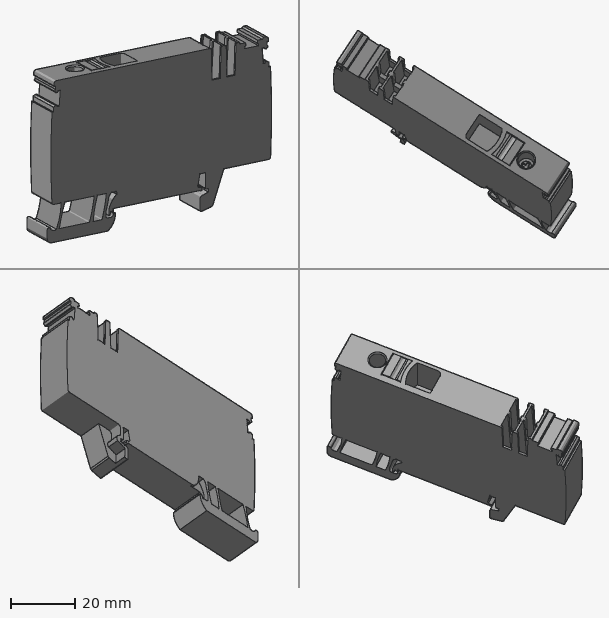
import cadquery as cq


WIDTH = 12.0
TOTAL_LENGTH = 81.8
TOTAL_HEIGHT = 53.2
HOUSING_HEIGHT = 40.65
HALF_LENGTH = 40.25
FOOT_END_Y = HALF_LENGTH - TOTAL_LENGTH
FOOT_BOTTOM_Z = HOUSING_HEIGHT - TOTAL_HEIGHT
NEAR_X = -WIDTH / 2

END_CORNER_Y = 39.8
SHOULDER_Z = 30.5
END_BULGE_Z = SHOULDER_Z / 2
END_NOTCH_Y = 38.6
BOTTOM_CORNER_RADIUS = 0.8
TOP_END_RADIUS = 1.0
SLOT_CORNER_RADIUS = 0.6

MARKER_LEDGE_DEPTH = 0.6
MARKER_DEPTH = 2.45

SLOT_FLOOR_Z = 30.1
SLOT_CENTERS_Y = (25.4, 20.05)
SLOT_TOP_WIDTH = 3.6
SLOT_FLOOR_WIDTH = 2.95
PANEL_TOP_WIDTH = 4.7
PANEL_FLOOR_WIDTH = 2.5
PANEL_FLOOR_Z = 22.9
PANEL_LENGTH_X = 4.7
PANEL_CENTER_X = 2.985

OPENING_X_MIN = -4.8
OPENING_X_MAX = 3.85
OPENING_MID_X = (OPENING_X_MIN + OPENING_X_MAX) / 2
POCKET_Y_MAX = -7.3
POCKET_Y_MIN = -15.7
POCKET_SAG = 1.0
POCKET_DEPTH = 12.3
POCKET_BIG_RADIUS = 1.5
POCKET_SMALL_RADIUS = 0.3

LEVER_Y_MAX = -17.4
LEVER_RECESS_Y_MIN = -24.1
LEVER_SAG = 0.65
LEVER_GAP = 0.25
LEVER_DEPTH = 4.9
LEVER_GROOVE_DEPTH = 0.4

SCREW_X = -0.6
SCREW_Y = -27.4
SCREW_HOLE_DIAMETER = 5.1
SCREW_HOLE_CHAMFER = 0.4
SCREW_HOLE_DEPTH = 8.2
SOCKET_DIAMETER = 3.3
SOCKET_RIM_DEPTH = 0.25
SOCKET_ARM_LENGTH = 2.8
SOCKET_ARM_WIDTH = 0.9
SOCKET_DEPTH = 1.2

RAIL_BLOCK_Z = -5.5
HOOK_INSET = 0.8
CLIP_WEB_INSET = 4.1
FOOT_CORNER_RADIUS = 1.6
FOOT_LIP_Z = -7.9
FOOT_LIP_WIDTH = 1.3
WINDOW_FLOOR_Z = -8.35
WINDOW_CORNER_RADIUS = 0.6


def side_plane(inset=0.0):
    """Y-Z sketch plane that lies `inset` behind the -X face and extrudes toward +X."""
    return cq.Workplane("YZ", origin=(NEAR_X + inset, 0, 0))


def end_profile(side):
    """Ledges and grooves of one end, from the shoulder up to the top; side is +1 or -1."""
    points = [
        (39.3, SHOULDER_Z),
        (39.3, 32.1),
        (38.5, 32.5),
        (37.95, 32.5),
        (37.8, 32.0),
        (37.2, 32.0),
        (36.8, 37.1),
        (37.55, 37.1),
        (37.9, 36.65),
        (38.3, 36.65),
        (38.9, 37.3),
        (END_NOTCH_Y, 37.9),
        (END_NOTCH_Y, 38.85),
        (39.1, 38.9),
        (39.1, HOUSING_HEIGHT),
    ]
    return [(side * y, z) for y, z in points]


def marker_channel_profile():
    """Stepped, slightly undercut channel, listed from +Y to -Y."""
    ledge_z = HOUSING_HEIGHT - MARKER_LEDGE_DEPTH
    floor_z = HOUSING_HEIGHT - MARKER_DEPTH
    return [
        (37.3, HOUSING_HEIGHT),
        (36.8, ledge_z),
        (35.2, ledge_z),
        (34.9, 39.2),
        (35.5, 38.8),
        (35.5, floor_z),
        (30.5, floor_z),
        (30.5, 38.85),
        (30.9, 39.3),
        (30.7, ledge_z),
        (28.7, ledge_z),
        (28.55, HOUSING_HEIGHT),
    ]


def tapered_slot_profile(center_y, top_width, floor_width, floor_z):
    return [
        (center_y + top_width / 2, HOUSING_HEIGHT),
        (center_y + floor_width / 2, floor_z),
        (center_y - floor_width / 2, floor_z),
        (center_y - top_width / 2, HOUSING_HEIGHT),
    ]


def is_at_housing_end(edge):
    return abs(edge.Center().y) > END_NOTCH_Y


def is_at_slot(edge):
    return any(abs(edge.Center().y - center_y) < PANEL_TOP_WIDTH / 2 for center_y in SLOT_CENTERS_Y)


def make_upper_housing():
    top_points = end_profile(1) + marker_channel_profile()
    for center_y in SLOT_CENTERS_Y:
        top_points += tapered_slot_profile(center_y, SLOT_TOP_WIDTH, SLOT_FLOOR_WIDTH, SLOT_FLOOR_Z)
    top_points += reversed(end_profile(-1))

    block = (
        side_plane()
        .moveTo(-END_CORNER_Y, 0)
        .lineTo(END_CORNER_Y, 0)
        .threePointArc((HALF_LENGTH, END_BULGE_Z), (END_CORNER_Y, SHOULDER_Z))
        .polyline(top_points, includeCurrent=True)
        .lineTo(-END_CORNER_Y, SHOULDER_Z)
        .threePointArc((-HALF_LENGTH, END_BULGE_Z), (-END_CORNER_Y, 0))
        .close()
        .extrude(WIDTH)
    )
    block = block.edges("|X").edges("<Z").fillet(BOTTOM_CORNER_RADIUS)
    block = block.edges("|X").edges(">Z").filter(is_at_housing_end).fillet(TOP_END_RADIUS)
    return block.edges("|X").edges(">Z").filter(is_at_slot).fillet(SLOT_CORNER_RADIUS)


def make_panel_recesses():
    """Tapered recesses, deeper than the slots, that leave ribs at the ends and middle of each wall."""
    recesses = cq.Workplane()
    for center_y in SLOT_CENTERS_Y:
        profile = tapered_slot_profile(center_y, PANEL_TOP_WIDTH, PANEL_FLOOR_WIDTH, PANEL_FLOOR_Z)
        for center_x in (-PANEL_CENTER_X, PANEL_CENTER_X):
            inset = center_x - PANEL_LENGTH_X / 2 - NEAR_X
            recesses = recesses.add(side_plane(inset).polyline(profile).close().extrude(PANEL_LENGTH_X))
    return recesses.combine()


def make_pocket():
    pocket = (
        cq.Workplane("XY", origin=(0, 0, HOUSING_HEIGHT))
        .moveTo(OPENING_X_MIN, POCKET_Y_MAX)
        .lineTo(OPENING_X_MIN, POCKET_Y_MIN)
        .threePointArc((OPENING_MID_X, POCKET_Y_MIN - POCKET_SAG), (OPENING_X_MAX, POCKET_Y_MIN))
        .lineTo(OPENING_X_MAX, POCKET_Y_MAX)
        .close()
        .extrude(-POCKET_DEPTH)
    )
    pocket = pocket.edges("|Z and >Y and <X").fillet(POCKET_BIG_RADIUS)
    return pocket.edges("|Z and >Y and >X").fillet(POCKET_SMALL_RADIUS)


def lever_block(x_max, y_min):
    """Block with a hollow +Y side; the recess and the lever share this shape."""
    return (
        cq.Workplane("XY", origin=(0, 0, HOUSING_HEIGHT))
        .moveTo(OPENING_X_MIN, LEVER_Y_MAX)
        .threePointArc((OPENING_MID_X, LEVER_Y_MAX - LEVER_SAG), (OPENING_X_MAX, LEVER_Y_MAX))
        .lineTo(OPENING_X_MAX, y_min)
        .lineTo(OPENING_X_MIN, y_min)
        .close()
        .extrude(-LEVER_DEPTH)
        .intersect(
            cq.Workplane("XY")
            .box(x_max - OPENING_X_MIN, TOTAL_LENGTH, TOTAL_HEIGHT, centered=(False, True, False))
            .translate((OPENING_X_MIN, 0, 0))
        )
    )


def make_lever_recess():
    return lever_block(OPENING_X_MAX, LEVER_RECESS_Y_MIN)


def make_lever():
    """Lever with clearance at its +X and -Y sides and a finger groove across its top."""
    groove_z = HOUSING_HEIGHT - LEVER_GROOVE_DEPTH
    groove = (
        side_plane()
        .moveTo(-18.8, HOUSING_HEIGHT)
        .lineTo(-19.5, groove_z)
        .lineTo(-20.1, groove_z)
        .tangentArcPoint((-21.2, HOUSING_HEIGHT), relative=False)
        .close()
        .extrude(WIDTH)
    )
    return lever_block(OPENING_X_MAX - LEVER_GAP, LEVER_RECESS_Y_MIN + LEVER_GAP).cut(groove)


def make_screw_hole():
    hole_floor = HOUSING_HEIGHT - SCREW_HOLE_DEPTH
    rim_floor = hole_floor - SOCKET_RIM_DEPTH
    top_radius = SCREW_HOLE_DIAMETER / 2 + SCREW_HOLE_CHAMFER
    hole = (
        cq.Workplane("XY", origin=(SCREW_X, SCREW_Y, hole_floor))
        .circle(SCREW_HOLE_DIAMETER / 2)
        .extrude(SCREW_HOLE_DEPTH)
    )
    countersink = cq.Workplane(
        cq.Solid.makeCone(
            SCREW_HOLE_DIAMETER / 2,
            top_radius,
            SCREW_HOLE_CHAMFER,
            pnt=cq.Vector(SCREW_X, SCREW_Y, HOUSING_HEIGHT - SCREW_HOLE_CHAMFER),
        )
    )
    rim = (
        cq.Workplane("XY", origin=(SCREW_X, SCREW_Y, rim_floor))
        .circle(SOCKET_DIAMETER / 2)
        .extrude(SOCKET_RIM_DEPTH)
    )
    hole = hole.union(countersink).union(rim)
    for angle in (0, 90):
        arm = (
            cq.Workplane("XY", origin=(SCREW_X, SCREW_Y, rim_floor))
            .transformed(rotate=(0, 0, angle))
            .rect(SOCKET_ARM_LENGTH, SOCKET_ARM_WIDTH)
            .extrude(-SOCKET_DEPTH)
        )
        hole = hole.union(arm)
    return hole


def make_rail_block():
    """Block between the rail claws, with a small nose at its +Y end."""
    return (
        side_plane()
        .moveTo(-16.3, 0)
        .lineTo(14.1, 0)
        .lineTo(13.3, -3.9)
        .lineTo(13.7, -4.4)
        .lineTo(14.9, -4.75)
        .lineTo(14.9, -5.5)
        .lineTo(14.5, -5.7)
        .lineTo(14.0, RAIL_BLOCK_Z)
        .lineTo(-13.4, RAIL_BLOCK_Z)
        .threePointArc((-15.3, -4.1), (-15.95, -2.05))
        .close()
        .extrude(WIDTH)
    )


def make_hook():
    """Hook at the -Y end of the rail block, set back from the -X face."""
    return (
        side_plane(HOOK_INSET)
        .moveTo(-13.4, RAIL_BLOCK_Z)
        .lineTo(-13.4, -1.0)
        .lineTo(-16.3, -1.0)
        .threePointArc((-18.25, -3.35), (-19.15, -5.7))
        .lineTo(-19.15, -7.45)
        .lineTo(-18.65, -7.45)
        .lineTo(-18.4, -6.4)
        .lineTo(-17.4, -6.4)
        .lineTo(-17.4, RAIL_BLOCK_Z)
        .close()
        .extrude(WIDTH - HOOK_INSET)
    )


def make_clip():
    """Springy rail clip of full width below the +Y half."""
    return (
        side_plane()
        .moveTo(16.0, 0)
        .lineTo(16.0, -5.1)
        .lineTo(16.45, -5.5)
        .lineTo(17.2, -5.5)
        .lineTo(17.2, -6.55)
        .lineTo(15.2, -7.2)
        .threePointArc((14.4, -7.6), (14.1, -8.35))
        .lineTo(14.1, -12.2)
        .lineTo(14.5, FOOT_BOTTOM_Z)
        .lineTo(15.6, -12.3)
        .lineTo(15.4, -11.1)
        .lineTo(15.4, -8.5)
        .lineTo(18.6, -7.2)
        .threePointArc((19.0, -6.2), (18.6, -5.15))
        .lineTo(17.35, -4.1)
        .lineTo(17.35, -1.2)
        .threePointArc((17.6, -0.5), (18.3, 0))
        .close()
        .extrude(WIDTH)
    )


def make_clip_web():
    """Stiffening web behind the clip, set back from the -X face."""
    outline = [
        (22.8, 0),
        (18.8, -11.2),
        (18.3, -11.6),
        (15.6, -12.3),
        (14.8, -9.0),
        (18.1, -6.1),
        (16.85, -3.7),
        (16.85, 0),
    ]
    return side_plane(CLIP_WEB_INSET).polyline(outline).close().extrude(WIDTH - CLIP_WEB_INSET)


def make_foot():
    """Rail foot hung from the housing by three slanted arms."""
    foot = (
        side_plane()
        .moveTo(-18.1, 0)
        .threePointArc((-18.8, -0.8), (-19.3, -2.45))
        .lineTo(-20.1, -5.9)
        .lineTo(-20.1, -7.4)
        .threePointArc((-20.0, -7.9), (-19.5, -8.2))
        .lineTo(-18.5, -8.2)
        .threePointArc((-17.75, -7.85), (-17.4, -7.0))
        .lineTo(-16.8, -7.0)
        .lineTo(-16.8, -8.2)
        .threePointArc((-17.7, -10.6), (-19.55, FOOT_BOTTOM_Z))
        .lineTo(FOOT_END_Y + FOOT_CORNER_RADIUS, FOOT_BOTTOM_Z)
        .tangentArcPoint((FOOT_END_Y, FOOT_BOTTOM_Z + FOOT_CORNER_RADIUS), relative=False)
        .lineTo(FOOT_END_Y, FOOT_LIP_Z)
        .tangentArcPoint((FOOT_END_Y + FOOT_LIP_WIDTH, FOOT_LIP_Z), relative=False)
        .threePointArc((-39.2, -8.6), (-38.2, -8.35))
        .threePointArc((-37.0, -4.25), (-36.5, 0))
        .close()
        .extrude(WIDTH)
    )
    middle_window = (
        side_plane()
        .moveTo(-20.05, 0)
        .threePointArc((-20.6, -4.2), (-21.6, WINDOW_FLOOR_Z))
        .lineTo(-24.8, WINDOW_FLOOR_Z)
        .threePointArc((-24.3, -4.2), (-23.2, 0))
        .close()
        .extrude(WIDTH)
    )
    end_window = (
        side_plane()
        .moveTo(-24.45, 0)
        .threePointArc((-25.1, -4.2), (-26.2, WINDOW_FLOOR_Z))
        .lineTo(-37.1, WINDOW_FLOOR_Z)
        .threePointArc((-36.3, -4.2), (-35.1, 0))
        .close()
        .extrude(WIDTH)
    )
    for window in (middle_window, end_window):
        foot = foot.cut(window.edges("|X").edges("<Z").edges(">Y").fillet(WINDOW_CORNER_RADIUS))
    return foot


def make_housing():
    housing = make_upper_housing()
    for part in (make_rail_block(), make_hook(), make_clip(), make_clip_web(), make_foot()):
        housing = housing.union(part)
    for opening in (make_panel_recesses(), make_pocket(), make_lever_recess(), make_screw_hole()):
        housing = housing.cut(opening)
    return housing


housing = make_housing()
lever = make_lever()
result = cq.Compound.makeCompound([housing.solids().val(), lever.solids().val()])